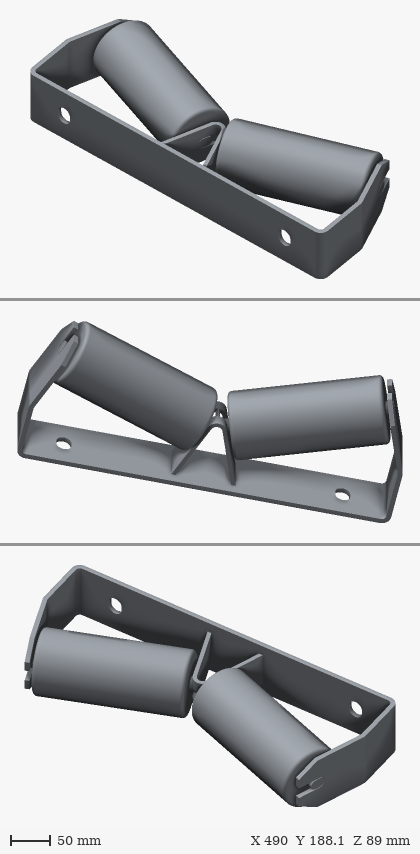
import cadquery as cq
import math

FRAME_LENGTH = 490.0
FRAME_HEIGHT = 80.0
FRAME_SHEET = 6.5
FRAME_BEND = 6.0
ARM_ANGLE = 20.0
ARM_KNEE = 80.5
ARM_TIP = 180.5
TIP_CHAMFER_ALONG = 30.0
TIP_CHAMFER_ACROSS = 17.0

MOUNT_SPACING = 365.5
MOUNT_WIDTH = 19.5
MOUNT_HEIGHT = 25.5

ROLLER_DIAMETER = 89.0
ROLLER_LENGTH = 200.0
ROLLER_FILLET = 5.0
ROLLER_Y = 113.5
END_GAP = 5.0
SHAFT_DIAMETER = 21.5
SHAFT_FLATS = 14.5
SLOT_WIDTH = 16.5
SLOT_REACH = 44.0

STAND_SHEET = 5.5
STAND_HEIGHT = 50.0
STAND_BEND = 13.0

SIN = math.sin(math.radians(ARM_ANGLE))
COS = math.cos(math.radians(ARM_ANGLE))
TAN = SIN / COS
HALF_LENGTH = FRAME_LENGTH / 2
HALF_ROLLER = ROLLER_LENGTH / 2
SHEET_OFFSET = HALF_ROLLER + END_GAP
SHAFT_OUTER_END = SHEET_OFFSET + FRAME_SHEET
SHAFT_INNER_END = SHEET_OFFSET + STAND_SHEET
AXIS_ON_ARM_Y = ROLLER_Y + SHAFT_OUTER_END * SIN
AXIS_ON_ARM_X = HALF_LENGTH - (AXIS_ON_ARM_Y - ARM_KNEE) * TAN
ROLLER_X = AXIS_ON_ARM_X - SHAFT_OUTER_END * COS
AXIS_ON_STAND_X = ROLLER_X - SHEET_OFFSET * COS
AXIS_ON_STAND_Y = ROLLER_Y - SHEET_OFFSET * SIN
CREST_Y = AXIS_ON_STAND_Y + AXIS_ON_STAND_X / TAN - STAND_BEND / SIN


def axis_plane(offset):
    """Plane square to the right roller's axis, facing the arm, with y along Z.

    Its origin is on the axis, offset from the roller middle; x points at the frame base.
    """
    return cq.Plane(
        origin=(ROLLER_X + offset * COS, ROLLER_Y + offset * SIN, 0),
        xDir=(SIN, -COS, 0),
        normal=(COS, SIN, 0),
    )


def mirrored_pair(right_half):
    """A right-hand shape together with its mirror image."""
    return right_half.union(right_half.mirror("YZ"))


def shaft_slots(start, end):
    """Cutters for open slots between two offsets along the axes, with floors that seat the shafts."""
    half = SLOT_WIDTH / 2
    floor = SHAFT_DIAMETER / 2
    shoulder = floor - half
    slot = (
        cq.Workplane(axis_plane(start))
        .moveTo(-SLOT_REACH, -half)
        .lineTo(shoulder, -half)
        .threePointArc((floor, 0), (shoulder, half))
        .lineTo(-SLOT_REACH, half)
        .close()
        .extrude(end - start)
    )
    return mirrored_pair(slot)


def arm_tip_corners():
    """Triangular cutters for the corners of the arm tips."""
    tip = -(ARM_TIP - AXIS_ON_ARM_Y) / COS
    edge = FRAME_HEIGHT / 2
    corners = cq.Workplane(axis_plane(SHEET_OFFSET - END_GAP / 2))
    for z in (-1, 1):
        corners = corners.polyline(
            [
                (tip + TIP_CHAMFER_ALONG, z * edge),
                (tip, z * (edge - TIP_CHAMFER_ACROSS)),
                (tip, z * edge),
            ]
        ).close()
    return mirrored_pair(corners.extrude(FRAME_SHEET + END_GAP))


def frame_strip():
    """Bent strip of the frame, from one arm tip to the other."""
    tip_x = HALF_LENGTH - (ARM_TIP - ARM_KNEE) * TAN
    inner_x = HALF_LENGTH - FRAME_SHEET
    inner_knee = ARM_KNEE - FRAME_SHEET * math.tan(math.radians(ARM_ANGLE / 2))
    outer_bends = [(HALF_LENGTH, 0), (HALF_LENGTH, ARM_KNEE)]
    inner_bends = [(inner_x, inner_knee), (inner_x, FRAME_SHEET)]
    tip = [(tip_x, ARM_TIP), (tip_x - FRAME_SHEET * COS, ARM_TIP - FRAME_SHEET * SIN)]
    right = outer_bends + tip + inner_bends
    left = [(-x, y) for x, y in reversed(right)]
    strip = (
        cq.Workplane("XY")
        .polyline(right + left)
        .close()
        .extrude(FRAME_HEIGHT / 2, both=True)
    )
    for bends, radius in ((outer_bends, FRAME_BEND + FRAME_SHEET), (inner_bends, FRAME_BEND)):
        for x, y in bends:
            for side in (-1, 1):
                corner = cq.selectors.NearestToPointSelector((side * x, y, 0))
                strip = strip.edges("|Z").edges(corner).fillet(radius)
    return strip


def mounting_slots():
    """Cutters for the upright slots through the frame base."""
    return (
        cq.Workplane("XZ")
        .pushPoints([(-MOUNT_SPACING / 2, 0), (MOUNT_SPACING / 2, 0)])
        .slot2D(MOUNT_HEIGHT, MOUNT_WIDTH, 90)
        .extrude(-FRAME_SHEET)
    )


def make_frame():
    """U-shaped frame with a slotted, leaning arm at each end."""
    arm_slots = shaft_slots(SHEET_OFFSET - END_GAP / 2, SHAFT_OUTER_END + END_GAP / 2)
    return frame_strip().cut(arm_tip_corners()).cut(arm_slots).cut(mounting_slots())


def stand_outline(radius):
    """Solid inverted V with a round crest of the given radius."""
    foot_x = radius / COS + (CREST_Y - FRAME_SHEET) * TAN
    bend_x = radius * COS
    bend_y = CREST_Y + radius * SIN
    return (
        cq.Workplane("XY")
        .moveTo(foot_x, FRAME_SHEET)
        .lineTo(bend_x, bend_y)
        .threePointArc((0, CREST_Y + radius), (-bend_x, bend_y))
        .lineTo(-foot_x, FRAME_SHEET)
        .close()
        .extrude(STAND_HEIGHT / 2, both=True)
    )


def make_stand():
    """Inverted V of sheet between the rollers, standing on the frame base."""
    stand = stand_outline(STAND_BEND).cut(stand_outline(STAND_BEND - STAND_SHEET))
    return stand.cut(shaft_slots(-SHAFT_INNER_END - END_GAP / 2, -SHEET_OFFSET))


def make_roller():
    """Right-hand roller: a drum on a shaft with flat-sided, round-edged ends."""
    drum = (
        cq.Workplane(axis_plane(-HALF_ROLLER))
        .circle(ROLLER_DIAMETER / 2)
        .extrude(ROLLER_LENGTH)
        .edges()
        .fillet(ROLLER_FILLET)
    )
    neck = cq.Workplane(axis_plane(-SHEET_OFFSET)).circle(SHAFT_DIAMETER / 2).extrude(2 * SHEET_OFFSET)
    shaft_length = SHAFT_INNER_END + SHAFT_OUTER_END
    shaft = (
        cq.Workplane(axis_plane(-SHAFT_INNER_END))
        .slot2D(SHAFT_DIAMETER, SHAFT_FLATS)
        .extrude(shaft_length)
    )
    return drum.union(neck).union(shaft)


def make_cradle():
    """The stand carrying a roller on each of its legs."""
    roller = make_roller()
    return make_stand().union(roller).union(roller.mirror("YZ"))


frame = make_frame()
cradle = make_cradle()
result = cq.Compound.makeCompound([frame.val(), cradle.val()])